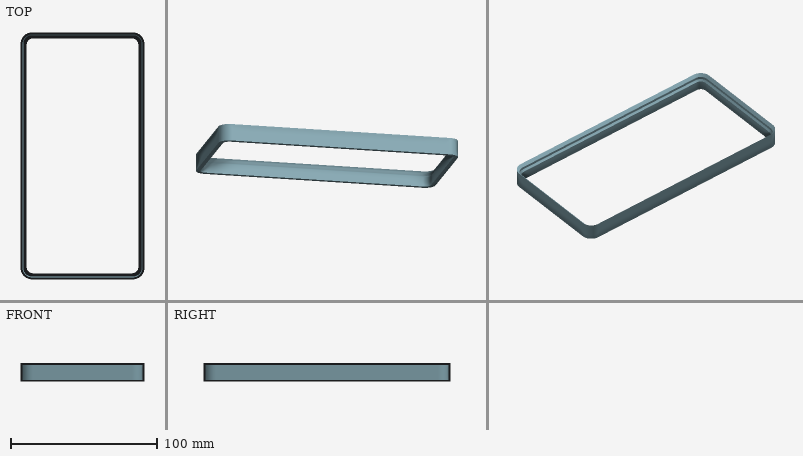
import cadquery as cq
import math

LENGTH_X = 83.5
LENGTH_Y = 167.5
HEIGHT = 11.7
CORNER_RADIUS = 7.5

RIM_BEVEL_WIDTH = 1.9
LEDGE_BEVEL_WIDTH = 1.2
STEP_HEIGHT = 1.8
BEVEL_ANGLE = 45.0

WALL_THICKNESS = RIM_BEVEL_WIDTH + LEDGE_BEVEL_WIDTH
BEVEL_SLOPE = math.tan(math.radians(BEVEL_ANGLE))


def wall_section():
    """Closed wall profile at the middle of the -X side, in the XZ plane."""
    outer_x = -LENGTH_X / 2
    step_x = outer_x + RIM_BEVEL_WIDTH
    inner_x = outer_x + WALL_THICKNESS
    step_top = HEIGHT - RIM_BEVEL_WIDTH * BEVEL_SLOPE
    step_bottom = step_top - STEP_HEIGHT
    inner_top = step_bottom - LEDGE_BEVEL_WIDTH * BEVEL_SLOPE
    return (
        cq.Workplane("XZ")
        .moveTo(outer_x, 0)
        .lineTo(outer_x, HEIGHT)
        .lineTo(step_x, step_top)
        .lineTo(step_x, step_bottom)
        .lineTo(inner_x, inner_top)
        .lineTo(inner_x, 0)
        .close()
    )


def wall_path():
    """Outer outline of the frame, starting at the middle of the -X side."""
    x = LENGTH_X / 2
    y = LENGTH_Y / 2
    r = CORNER_RADIUS
    return (
        cq.Workplane("XY")
        .moveTo(-x, 0)
        .lineTo(-x, y - r)
        .radiusArc((-x + r, y), r)
        .lineTo(x - r, y)
        .radiusArc((x, y - r), r)
        .lineTo(x, -y + r)
        .radiusArc((x - r, -y), r)
        .lineTo(-x + r, -y)
        .radiusArc((-x, -y + r), r)
        .close()
    )


result = wall_section().sweep(wall_path())